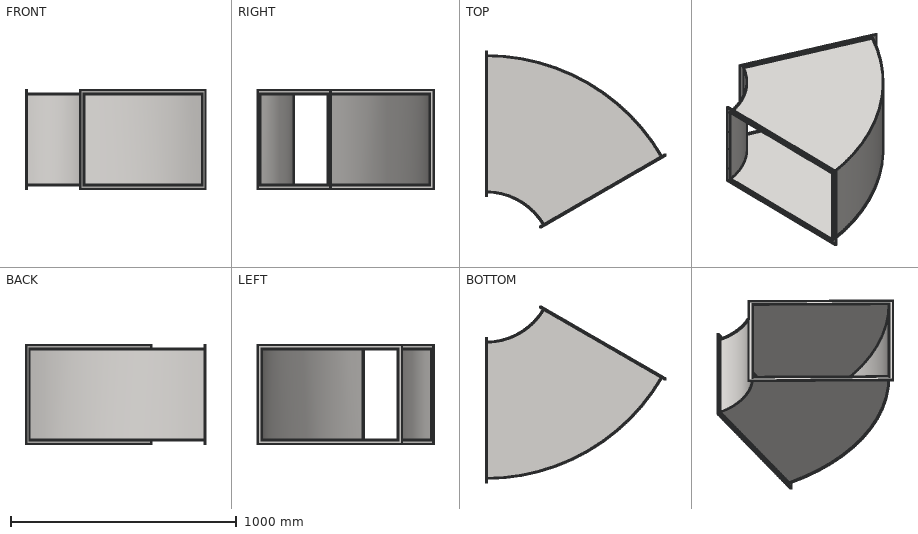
import cadquery as cq
import math

BEND_ANGLE = 60.0
OVERALL_X = 797.0
FLANGE_LENGTH = 640.0
FLANGE_HEIGHT = 440.0
FLANGE_BORDER = 17.0
FLANGE_THICKNESS = 5.0
WALL = 3.0

FLANGE_OUTER_RADIUS = OVERALL_X / math.sin(math.radians(BEND_ANGLE))
FLANGE_MID_RADIUS = FLANGE_OUTER_RADIUS - FLANGE_LENGTH / 2
DUCT_WIDTH = FLANGE_LENGTH - 2 * FLANGE_BORDER
DUCT_HEIGHT = FLANGE_HEIGHT - 2 * FLANGE_BORDER


def bend(width, height):
    """Rectangular section swept around the bend axis, from the first face to the second."""
    return (
        cq.Workplane("YZ")
        .center(FLANGE_MID_RADIUS, 0)
        .rect(width, height)
        .revolve(BEND_ANGLE, (-FLANGE_MID_RADIUS, 0), (-FLANGE_MID_RADIUS, -1))
    )


def make_duct():
    """Curved sheet duct, open at both ends."""
    passage = bend(DUCT_WIDTH - 2 * WALL, DUCT_HEIGHT - 2 * WALL)
    return bend(DUCT_WIDTH, DUCT_HEIGHT).cut(passage)


def make_flange(angle, inward):
    """Flange frame around a duct end; angle turns it clockwise about Z, inward is its growth sign."""
    plate = (
        cq.Workplane("YZ")
        .center(FLANGE_MID_RADIUS, 0)
        .rect(FLANGE_LENGTH, FLANGE_HEIGHT)
        .extrude(inward * FLANGE_THICKNESS)
        .rotate((0, 0, 0), (0, 0, 1), -angle)
    )
    return plate.cut(bend(DUCT_WIDTH, DUCT_HEIGHT))


duct = make_duct()
flanges = [make_flange(angle, inward) for angle, inward in ((0, 1), (BEND_ANGLE, -1))]

result = cq.Compound.makeCompound([duct.val(), *[flange.val() for flange in flanges]])